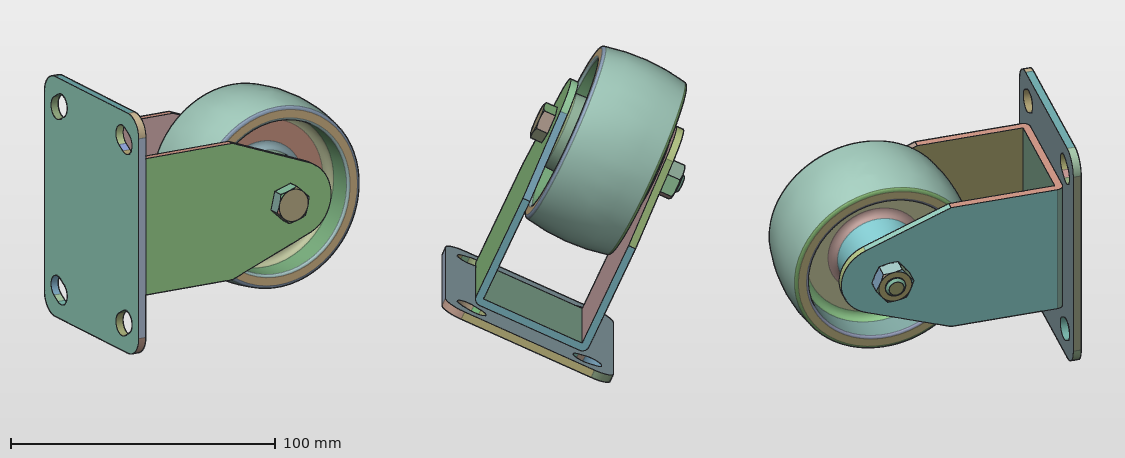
import cadquery as cq
import math


total_length = 109.3

wheel_radius = 37.5
wheel_width = 35.0
tread_edge_radius = 35.5
tread_edge_fillet = 1.3
rim_inner_radius = 30.3
rim_mouth_fillet = 1.0
rim_root_fillet = 3.0
web_thickness = 8.0
hub_radius = 15.0
hub_root_radius = 16.0
hub_length = 40.0
hub_root_fillet = 3.0
hub_end_fillet = 0.7

plate_width = 70.0
plate_height = 95.0
plate_thickness = 3.2
plate_corner_radius = 8.0
plate_face_y = wheel_radius - total_length
slot_radius = 4.5
slot_travel = 3.4
slot_angle = 31.0
slot_offset_x = 24.0
slot_offset_z = 36.3

fork_inner_width = 41.0
fork_thickness = 3.0
fork_height = 54.0
fork_bend_radius = 2.7
fork_shoulder_y = -23.9
fork_tip_radius = 15.0
fork_tip_center_y = 4.4

bolt_diameter = 8.0
bolt_tip_chamfer = 1.1
bolt_tip_projection = 1.5
head_across_flats = 12.7
head_length = 5.0
head_angle = 17.0
nut_across_flats = 13.0
nut_length = 6.5
nut_angle = -7.5
hex_chamfer_angle = 25.0

plate_back_y = plate_face_y + plate_thickness
fork_outer_width = fork_inner_width + 2 * fork_thickness
fork_side_x = fork_outer_width / 2


def make_plate():
    """Rounded mounting plate with four slots that mirror each other."""
    plate = (
        cq.Workplane("XZ", origin=(0, plate_back_y, 0))
        .rect(plate_width, plate_height)
        .extrude(plate_thickness)
        .edges("|Y")
        .fillet(plate_corner_radius)
    )
    slot_length = slot_travel + 2 * slot_radius
    for side_x in (-1, 1):
        for side_z in (-1, 1):
            slot = (
                cq.Workplane("XZ", origin=(0, plate_back_y, 0))
                .center(side_x * slot_offset_x, side_z * slot_offset_z)
                .slot2D(slot_length, 2 * slot_radius, -side_x * side_z * slot_angle)
                .extrude(plate_thickness)
            )
            plate = plate.cut(slot)
    return plate


def make_fork_side_profile():
    """Outline of a fork leg in the YZ plane: a rectangle tapering to a round tip."""
    half_height = fork_height / 2
    shoulder_distance = math.hypot(fork_tip_center_y - fork_shoulder_y, half_height)
    shoulder_direction = math.atan2(half_height, fork_shoulder_y - fork_tip_center_y)
    tangent_direction = shoulder_direction - math.acos(fork_tip_radius / shoulder_distance)
    tangent_y = fork_tip_center_y + fork_tip_radius * math.cos(tangent_direction)
    tangent_z = fork_tip_radius * math.sin(tangent_direction)
    return (
        cq.Workplane("YZ", origin=(-fork_side_x, 0, 0))
        .moveTo(plate_back_y, -half_height)
        .lineTo(fork_shoulder_y, -half_height)
        .lineTo(tangent_y, -tangent_z)
        .threePointArc((fork_tip_center_y + fork_tip_radius, 0), (tangent_y, tangent_z))
        .lineTo(fork_shoulder_y, half_height)
        .lineTo(plate_back_y, half_height)
        .close()
    )


def make_fork():
    """U-shaped fork with rounded outer bends and a bolt hole through both legs."""
    fork_length = fork_tip_center_y + fork_tip_radius - plate_back_y
    gap = (
        cq.Workplane("XY", origin=(0, plate_back_y + fork_thickness, 0))
        .box(fork_inner_width, fork_length, fork_height, centered=(True, False, True))
    )
    bolt_hole = (
        cq.Workplane("YZ", origin=(-fork_side_x, 0, 0))
        .circle(bolt_diameter / 2)
        .extrude(fork_outer_width)
    )
    return (
        make_fork_side_profile()
        .extrude(fork_outer_width)
        .edges("|Z and <Y")
        .fillet(fork_bend_radius)
        .cut(gap)
        .cut(bolt_hole)
    )


def make_bracket():
    """Mounting plate and fork welded into one body."""
    return make_plate().union(make_fork())


def revolve_about_axle(profile):
    """Turn a profile drawn in the XZ plane about the X axis."""
    return profile.revolve(360, (0, 0, 0), (1, 0, 0))


def circles_at(radius, distance):
    """Selector for the two circular edges of a radius at +/- a distance along X."""
    margin = 0.05
    selector = None
    for side in (-1, 1):
        ring = cq.selectors.BoxSelector(
            (side * distance - margin, -radius - margin, -radius - margin),
            (side * distance + margin, radius + margin, radius + margin),
            boundingbox=True,
        )
        inside = cq.selectors.BoxSelector(
            (side * distance - margin, -radius + margin, -radius + margin),
            (side * distance + margin, radius - margin, radius - margin),
            boundingbox=True,
        )
        pair = ring - inside
        selector = pair if selector is None else selector + pair
    return selector


def make_wheel():
    """Crowned wheel with recessed sides, a web and a hub bored for the bolt."""
    half_width = wheel_width / 2
    half_web = web_thickness / 2
    half_hub = hub_length / 2
    bore_radius = bolt_diameter / 2
    profile = (
        cq.Workplane("XZ")
        .moveTo(-half_hub, bore_radius)
        .lineTo(-half_hub, hub_radius)
        .lineTo(-half_web, hub_root_radius)
        .lineTo(-half_web, rim_inner_radius)
        .lineTo(-half_width, rim_inner_radius)
        .lineTo(-half_width, tread_edge_radius)
        .threePointArc((0, wheel_radius), (half_width, tread_edge_radius))
        .lineTo(half_width, rim_inner_radius)
        .lineTo(half_web, rim_inner_radius)
        .lineTo(half_web, hub_root_radius)
        .lineTo(half_hub, hub_radius)
        .lineTo(half_hub, bore_radius)
        .close()
    )
    return (
        revolve_about_axle(profile)
        .edges(circles_at(tread_edge_radius, half_width)).fillet(tread_edge_fillet)
        .edges(circles_at(rim_inner_radius, half_width)).fillet(rim_mouth_fillet)
        .edges(circles_at(rim_inner_radius, half_web)).fillet(rim_root_fillet)
        .edges(circles_at(hub_root_radius, half_web)).fillet(hub_root_fillet)
        .edges(circles_at(hub_radius, half_hub)).fillet(hub_end_fillet)
    )


def make_hexagon(start_x, length, across_flats, angle, chamfer_start, chamfer_end):
    """Hexagonal prism along X whose chosen ends have their corners trimmed by a cone."""
    corner_radius = across_flats / math.sqrt(3)
    flat_radius = across_flats / 2
    trim = (corner_radius - flat_radius) * math.tan(math.radians(hex_chamfer_angle))
    end_x = start_x + length
    prism = (
        cq.Workplane("YZ", origin=(start_x, 0, 0))
        .transformed(rotate=(0, 0, angle))
        .polygon(6, 2 * corner_radius)
        .extrude(length)
    )
    envelope = cq.Workplane("XZ").moveTo(start_x, 0)
    if chamfer_start:
        envelope = envelope.lineTo(start_x, flat_radius).lineTo(start_x + trim, corner_radius)
    else:
        envelope = envelope.lineTo(start_x, corner_radius)
    if chamfer_end:
        envelope = envelope.lineTo(end_x - trim, corner_radius).lineTo(end_x, flat_radius)
    else:
        envelope = envelope.lineTo(end_x, corner_radius)
    envelope = envelope.lineTo(end_x, 0).close()
    return prism.intersect(revolve_about_axle(envelope))


def make_bolt():
    """Hexagon-head bolt through the fork and the wheel, head on the +X side."""
    tip_x = -fork_side_x - nut_length - bolt_tip_projection
    shank = (
        cq.Workplane("YZ", origin=(tip_x, 0, 0))
        .circle(bolt_diameter / 2)
        .extrude(fork_side_x - tip_x)
        .faces("<X")
        .chamfer(bolt_tip_chamfer)
    )
    head = make_hexagon(fork_side_x, head_length, head_across_flats, head_angle, False, True)
    return shank.union(head)


def make_nut():
    """Hexagon nut against the -X leg of the fork, chamfered on both ends."""
    start_x = -fork_side_x - nut_length
    blank = make_hexagon(start_x, nut_length, nut_across_flats, nut_angle, True, True)
    hole = (
        cq.Workplane("YZ", origin=(start_x, 0, 0))
        .circle(bolt_diameter / 2)
        .extrude(nut_length)
    )
    return blank.cut(hole)


bracket = make_bracket()
wheel = make_wheel()
bolt = make_bolt()
nut = make_nut()

result = cq.Compound.makeCompound([bracket.val(), wheel.val(), bolt.val(), nut.val()])